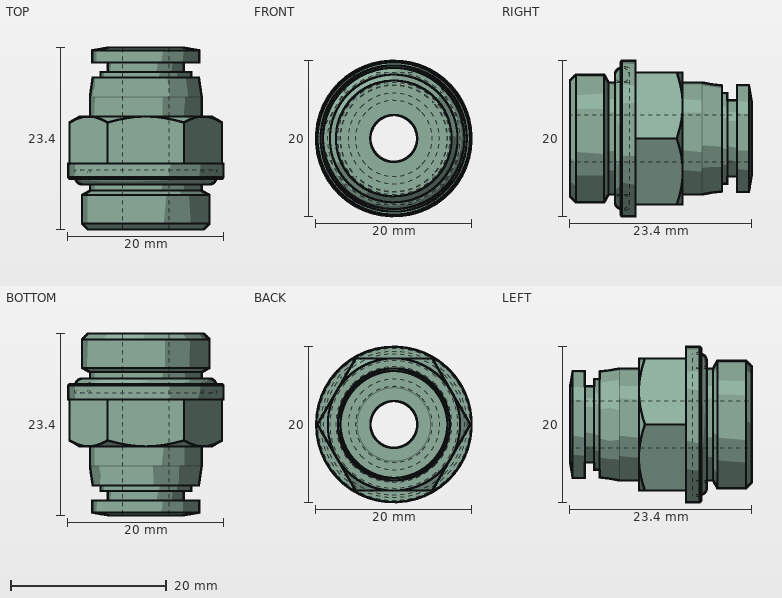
import cadquery as cq
import math


THREAD_CHAMFER = 0.77
THREAD_END = 4.42
NECK_START = 4.98
FLANGE_START = 6.5
HEX_START = 8.47
HEX_END = 14.5
SLEEVE_END = 17.01
TAPER_END = 19.56
STEP_END = 20.26
COLLAR_START = 21.45
COLLAR_BEVEL_START = 23.03
LENGTH = 23.4

BORE_RADIUS = 3.0
THREAD_RADIUS = 8.21
NECK_RADIUS = 7.2
FLANGE_DIAMETER = 20.0
FLANGE_RADIUS = FLANGE_DIAMETER / 2
FLANGE_CHAMFER = 0.2
SLEEVE_RADIUS = NECK_RADIUS
TAPER_RADIUS = 6.83
STEP_RADIUS = 5.85
COLLAR_NECK_RADIUS = 4.91
COLLAR_RADIUS = 6.9
COLLAR_FACE_RADIUS = 4.73

HEX_SIDES = 6
HEX_STEP = 2 * math.pi / HEX_SIDES
HEX_ACROSS_FLATS = 17.01
HEX_CORNER_RADIUS = HEX_ACROSS_FLATS / 2 / math.cos(HEX_STEP / 2)
HEX_CHAMFER_ANGLE = 30.0

RING_SECTION_RADIUS = 0.94
RING_CENTRE_RADIUS = NECK_RADIUS + RING_SECTION_RADIUS
RING_CENTRE_Y = 6.72
RECESS_FLOOR_Y = RING_CENTRE_Y + RING_SECTION_RADIUS
RECESS_FLOOR_RADIUS = RING_CENTRE_RADIUS + RING_SECTION_RADIUS
RECESS_MOUTH_RADIUS = 9.4


def revolve_profile(points):
    """Revolve a closed outline of (radius, y) points about the Y axis."""
    profile = cq.Workplane("XY").polyline(points).close()
    return profile.revolve(360, (0, 0, 0), (0, 1, 0))


def make_turned_shape():
    """Everything round on the fitting, with its through bore and ring recess."""
    return revolve_profile([
        (BORE_RADIUS, 0),
        (THREAD_RADIUS - THREAD_CHAMFER, 0),
        (THREAD_RADIUS, THREAD_CHAMFER),
        (THREAD_RADIUS, THREAD_END),
        (NECK_RADIUS, NECK_START),
        (NECK_RADIUS, RECESS_FLOOR_Y),
        (RECESS_FLOOR_RADIUS, RECESS_FLOOR_Y),
        (RECESS_MOUTH_RADIUS, FLANGE_START),
        (FLANGE_RADIUS - FLANGE_CHAMFER, FLANGE_START),
        (FLANGE_RADIUS, FLANGE_START + FLANGE_CHAMFER),
        (FLANGE_RADIUS, HEX_START),
        (SLEEVE_RADIUS, HEX_START),
        (SLEEVE_RADIUS, SLEEVE_END),
        (TAPER_RADIUS, TAPER_END),
        (STEP_RADIUS, TAPER_END),
        (STEP_RADIUS, STEP_END),
        (COLLAR_NECK_RADIUS, STEP_END),
        (COLLAR_NECK_RADIUS, COLLAR_START),
        (COLLAR_RADIUS, COLLAR_START),
        (COLLAR_RADIUS, COLLAR_BEVEL_START),
        (COLLAR_FACE_RADIUS, LENGTH),
        (BORE_RADIUS, LENGTH),
    ])


def make_hexagon():
    """Wrench hexagon with corners on X, its far corners turned off by a cone."""
    corners = [
        (HEX_CORNER_RADIUS * math.cos(HEX_STEP * i),
         HEX_CORNER_RADIUS * math.sin(HEX_STEP * i))
        for i in range(HEX_SIDES)
    ]
    prism = (
        cq.Workplane("XZ", origin=(0, HEX_START, 0))
        .polyline(corners).close()
        .circle(BORE_RADIUS)
        .extrude(HEX_START - HEX_END)
    )
    flat_radius = HEX_ACROSS_FLATS / 2
    cone_drop = (FLANGE_RADIUS - flat_radius) * math.tan(math.radians(HEX_CHAMFER_ANGLE))
    envelope = revolve_profile([
        (0, HEX_START),
        (FLANGE_RADIUS, HEX_START),
        (FLANGE_RADIUS, HEX_END - cone_drop),
        (flat_radius, HEX_END),
        (0, HEX_END),
    ])
    return prism.intersect(envelope)


def make_fitting():
    return make_turned_shape().union(make_hexagon())


def make_sealing_ring():
    section = cq.Workplane("XY").center(RING_CENTRE_RADIUS, RING_CENTRE_Y).circle(RING_SECTION_RADIUS)
    return section.revolve(360, (-RING_CENTRE_RADIUS, 0, 0), (-RING_CENTRE_RADIUS, 1, 0))


fitting = make_fitting()
sealing_ring = make_sealing_ring()
result = cq.Compound.makeCompound([fitting.val(), sealing_ring.val()])